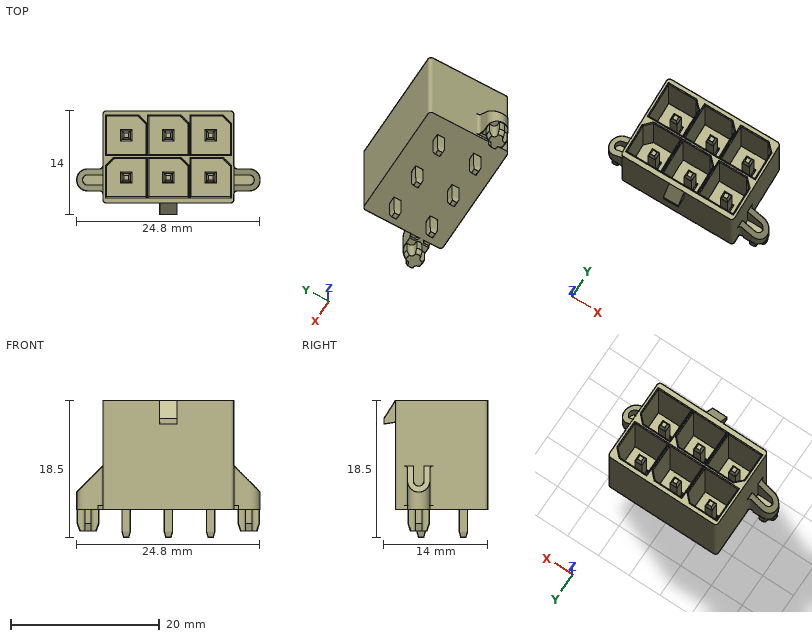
import cadquery as cq

HOUSING_LENGTH = 17.7
HOUSING_WIDTH = 12.47
HOUSING_HEIGHT = 14.75
HOUSING_CORNER_RADIUS = 0.5

PITCH = 5.7
ROW_OFFSET = 0.07
COLUMNS_X = [-PITCH, 0, PITCH]
BACK_ROW_Y = ROW_OFFSET + PITCH / 2
FRONT_ROW_Y = ROW_OFFSET - PITCH / 2

CAVITY_LENGTH = 5.3
CAVITY_WIDTH = 5.18
CAVITY_KEY = 1.05
CAVITY_FLOOR_Z = 2.98
MOUTH_BEVEL = 0.15

PIN_SIZE = 1.15
PIN_TAIL_TIP_SIZE = 0.72
PIN_TOP_TIP_SIZE = 0.62
PIN_TIP_LENGTH = 0.75
PIN_TAIL_LENGTH = 3.75
PIN_TOP_Z = 9.92
PIN_FUNNEL_SIZE = 1.55
PIN_FUNNEL_DEPTH = (PIN_FUNNEL_SIZE - PIN_SIZE) / 2

LATCH_WIDTH = 2.35
LATCH_REACH = 1.55
LATCH_LIP_TOP = 2.45
LATCH_LIP_BOTTOM = 3.22
LATCH_ROOT_BOTTOM = 2.98

OVERALL_LENGTH = 24.8
ARM_WIDTH = 3.0
ARM_Y = -3.1
ARM_ROOT_Z = 5.9
ARM_FILLET = 0.42
ARM_SLOT_WIDTH = 1.4
ARM_SLOT_FLOOR_Z = 1.0
NOTCH_LENGTH = 0.65
NOTCH_HEIGHT = 0.55
NOTCH_DEPTH = 0.8
NOTCH_RUNOUT = 0.4

PEG_RADIUS = 1.46
PEG_TIP_RADIUS = 1.12
PEG_LENGTH = 2.9
PEG_TAPER_LENGTH = 1.02
PEG_LOBE_WIDTH = 0.85
PEG_FILLET = 0.55
PEG_INSET = 0.05

HALF_LENGTH = HOUSING_LENGTH / 2
ARM_RADIUS = ARM_WIDTH / 2
ARM_END_X = OVERALL_LENGTH / 2
ARM_AXIS_X = ARM_END_X - ARM_RADIUS
PEG_X = ARM_AXIS_X - PEG_INSET


def square_frustum(base_size, top_size, base_z, top_z):
    return (
        cq.Workplane("XY").workplane(offset=base_z).rect(base_size, base_size)
        .workplane(offset=top_z - base_z).rect(top_size, top_size)
        .loft(ruled=True)
    )


def cavity_outline(grow, z):
    """Rectangle with the +X +Y corner cut off, grown outwards by an offset."""
    x = CAVITY_LENGTH / 2
    y = CAVITY_WIDTH / 2
    outline = (
        cq.Workplane("XY").workplane(offset=z)
        .polyline([(-x, -y), (x, -y), (x, y - CAVITY_KEY), (x - CAVITY_KEY, y), (-x, y)])
        .close()
    )
    if grow:
        outline = outline.offset2D(grow, "intersection")
    return outline


def make_cavity_cutter():
    well = cavity_outline(0, CAVITY_FLOOR_Z).extrude(HOUSING_HEIGHT - CAVITY_FLOOR_Z)
    mouth = cavity_outline(MOUTH_BEVEL, HOUSING_HEIGHT).extrude(-MOUTH_BEVEL, taper=45)
    funnel = square_frustum(PIN_SIZE, PIN_FUNNEL_SIZE, CAVITY_FLOOR_Z - PIN_FUNNEL_DEPTH, CAVITY_FLOOR_Z)
    return well.union(mouth).union(funnel)


def make_pin():
    tail_tip_z = -PIN_TAIL_LENGTH
    tail_shoulder_z = tail_tip_z + PIN_TIP_LENGTH
    top_shoulder_z = PIN_TOP_Z - PIN_TIP_LENGTH
    shank = (
        cq.Workplane("XY").workplane(offset=tail_shoulder_z)
        .rect(PIN_SIZE, PIN_SIZE).extrude(top_shoulder_z - tail_shoulder_z)
    )
    tail_tip = square_frustum(PIN_TAIL_TIP_SIZE, PIN_SIZE, tail_tip_z, tail_shoulder_z)
    top_tip = square_frustum(PIN_SIZE, PIN_TOP_TIP_SIZE, top_shoulder_z, PIN_TOP_Z)
    return shank.union(tail_tip).union(top_tip)


def make_latch():
    face_y = -HOUSING_WIDTH / 2
    lip_y = face_y - LATCH_REACH
    return (
        cq.Workplane("YZ").workplane(offset=-LATCH_WIDTH / 2)
        .moveTo(face_y, HOUSING_HEIGHT)
        .lineTo(lip_y, HOUSING_HEIGHT - LATCH_LIP_TOP)
        .lineTo(lip_y, HOUSING_HEIGHT - LATCH_LIP_BOTTOM)
        .lineTo(face_y, HOUSING_HEIGHT - LATCH_ROOT_BOTTOM)
        .close()
        .extrude(LATCH_WIDTH)
    )


def make_peg():
    """Plus-shaped peg with filleted inner corners and a conical tip."""
    span = 2 * PEG_RADIUS
    lobes = (
        cq.Workplane("XY").rect(span, PEG_LOBE_WIDTH).extrude(-PEG_LENGTH)
        .union(cq.Workplane("XY").rect(PEG_LOBE_WIDTH, span).extrude(-PEG_LENGTH))
    )
    inner_corners = cq.selectors.BoxSelector(
        (-PEG_LOBE_WIDTH, -PEG_LOBE_WIDTH, -PEG_LENGTH),
        (PEG_LOBE_WIDTH, PEG_LOBE_WIDTH, 0),
    )
    lobes = lobes.edges("|Z").edges(inner_corners).fillet(PEG_FILLET)
    envelope = (
        cq.Workplane("XZ")
        .polyline([
            (0, 0),
            (PEG_RADIUS, 0),
            (PEG_RADIUS, PEG_TAPER_LENGTH - PEG_LENGTH),
            (PEG_TIP_RADIUS, -PEG_LENGTH),
            (0, -PEG_LENGTH),
        ])
        .close()
        .revolve(360, (0, 0), (0, 1))
    )
    return lobes.intersect(envelope)


def make_arm():
    """Arm and peg at the +X end, in line with the X axis."""
    arm = (
        cq.Workplane("XY")
        .moveTo(HALF_LENGTH, -ARM_RADIUS - ARM_FILLET)
        .radiusArc((HALF_LENGTH + ARM_FILLET, -ARM_RADIUS), ARM_FILLET)
        .lineTo(ARM_AXIS_X, -ARM_RADIUS)
        .threePointArc((ARM_END_X, 0), (ARM_AXIS_X, ARM_RADIUS))
        .lineTo(HALF_LENGTH + ARM_FILLET, ARM_RADIUS)
        .radiusArc((HALF_LENGTH, ARM_RADIUS + ARM_FILLET), ARM_FILLET)
        .close()
        .extrude(ARM_ROOT_Z)
    )
    arm_length = ARM_END_X - HALF_LENGTH
    slope_cutter = (
        cq.Workplane("XZ")
        .moveTo(HALF_LENGTH, ARM_ROOT_Z)
        .lineTo(ARM_END_X, ARM_ROOT_Z - arm_length)
        .lineTo(ARM_END_X, ARM_ROOT_Z)
        .close()
        .extrude(ARM_WIDTH, both=True)
    )
    slot_radius = ARM_SLOT_WIDTH / 2
    slot = (
        cq.Workplane("XY").workplane(offset=ARM_SLOT_FLOOR_Z)
        .moveTo(HALF_LENGTH, -slot_radius)
        .lineTo(ARM_AXIS_X, -slot_radius)
        .threePointArc((ARM_AXIS_X + slot_radius, 0), (ARM_AXIS_X, slot_radius))
        .lineTo(HALF_LENGTH, slot_radius)
        .close()
        .extrude(ARM_ROOT_Z - ARM_SLOT_FLOOR_Z)
    )
    notch_floor_y = -ARM_RADIUS + NOTCH_DEPTH
    notch = (
        cq.Workplane("XY")
        .polyline([
            (HALF_LENGTH, -ARM_WIDTH),
            (HALF_LENGTH + NOTCH_LENGTH, -ARM_WIDTH),
            (HALF_LENGTH + NOTCH_LENGTH, notch_floor_y),
            (HALF_LENGTH, notch_floor_y + NOTCH_RUNOUT),
        ])
        .close()
        .extrude(NOTCH_HEIGHT)
    )
    arm = arm.cut(slope_cutter).cut(slot).cut(notch).cut(notch.mirror("XZ"))
    return arm.union(make_peg().translate((PEG_X, 0, 0)))


housing = (
    cq.Workplane("XY").rect(HOUSING_LENGTH, HOUSING_WIDTH).extrude(HOUSING_HEIGHT)
    .edges("|Z").fillet(HOUSING_CORNER_RADIUS)
    .union(make_latch())
)

right_arm = make_arm().translate((0, ARM_Y, 0))
housing = housing.union(right_arm).union(right_arm.mirror("YZ"))

cavity = make_cavity_cutter()
mirrored_cavity = cavity.mirror("YZ")
pin = make_pin()

result = housing
for row_y in (FRONT_ROW_Y, BACK_ROW_Y):
    for column_x in COLUMNS_X:
        is_first = row_y == FRONT_ROW_Y and column_x == COLUMNS_X[0]
        cutter = mirrored_cavity if is_first else cavity
        result = result.cut(cutter.translate((column_x, row_y, 0)))
        result = result.union(pin.translate((column_x, row_y, 0)))